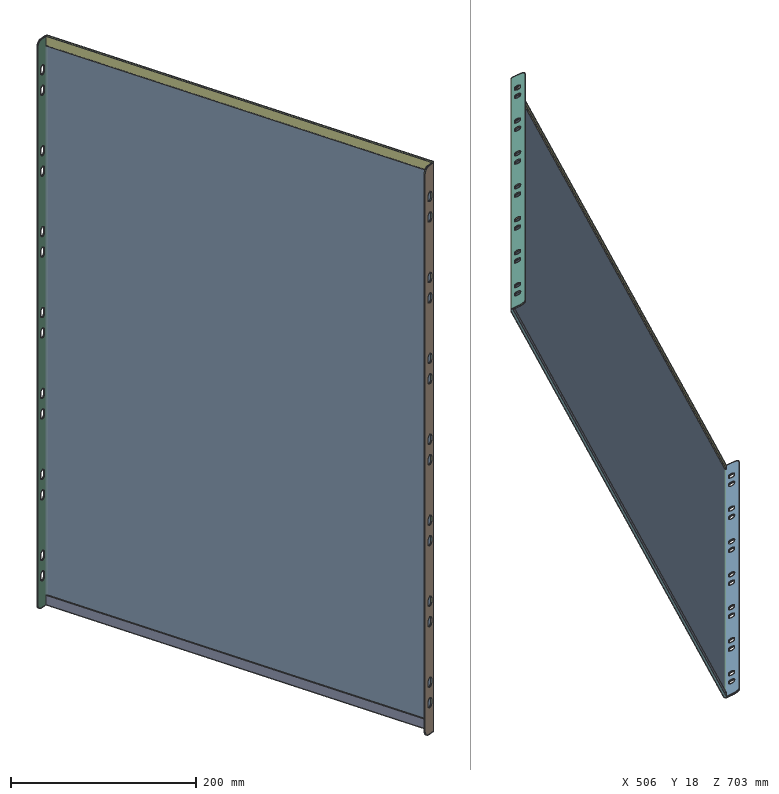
import cadquery as cq

width = 506.0
depth = 18.0
height = 703.0

sheet = 1.5
bend_radius = 3.0
flange_corner_radius = 7.0

hem_width = 12.0

slot_width = 7.0
slot_length = 12.0
slot_spacing = 25.0
end_margin = 39.0
pair_count = 7
pair_pitch = (height - 2 * end_margin - slot_spacing) / (pair_count - 1)

back = depth / 2
inner_width = width - 2 * sheet


def block(size_x, size_y, size_z, y_min):
    """Box centred in X and Z that starts at y_min."""
    return cq.Workplane("XY").box(size_x, size_y, size_z).translate((0, y_min + size_y / 2, 0))


def bent_sheet():
    """Panel with a flange along each side, bent toward -Y."""
    blank = block(width, depth, height, -back)
    blank = blank.edges("|Z and >Y").fillet(bend_radius)
    blank = blank.edges("|X and <Y").fillet(flange_corner_radius)
    cavity = block(inner_width, depth, height, -back - sheet)
    cavity = cavity.edges("|Z and >Y").fillet(bend_radius - sheet)
    return blank.cut(cavity)


def hems():
    """Strips that double the sheet along the top and bottom edges."""
    strip = block(inner_width, sheet, hem_width, back - 2 * sheet)
    lift = (height - hem_width) / 2
    return strip.translate((0, 0, lift)).union(strip.translate((0, 0, -lift)))


def flange_slots():
    """Cutters for pairs of upright slots, passing through both flanges."""
    first_pair = -(pair_count - 1) * pair_pitch / 2
    centres = [
        (0, first_pair + pair * pair_pitch + side * slot_spacing / 2)
        for pair in range(pair_count)
        for side in (-1, 1)
    ]
    return (
        cq.Workplane("YZ")
        .pushPoints(centres)
        .slot2D(slot_length, slot_width, 90)
        .extrude(width, both=True)
    )


result = bent_sheet().union(hems()).cut(flange_slots())